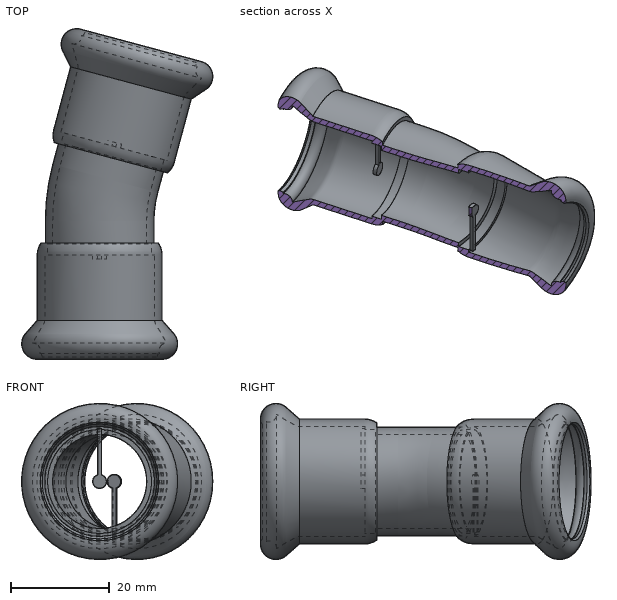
import cadquery as cq
import math


TUBE_OUTER_R = 22.0 / 2
TUBE_BORE_R = 19.0 / 2
BEND_ANGLE = 15
BEND_RADIUS = 33.45
STRAIGHT_LENGTH = 4.35

SOCKET_LENGTH = 23.55
SLEEVE_R = 25.3 / 2
SOCKET_BORE_R = 22.2 / 2
STOP_DEPTH = 21.15
STOP_STEP_R = 21.0 / 2
STOP_STEP_DEPTH = 2.15
SLEEVE_END_R = 11.85
SLEEVE_ROUND_R = 4.0

BEAD_R = 3.15
BEAD_END_DEPTH = 5.1
CONE_END_DEPTH = 7.9

MOUTH_R = 12.0
LIP_R = 23.2 / 2
LIP_DEPTH = 0.5
SHOULDER_DEPTH = 1.2
SHOULDER_INNER_R = 11.85
SHOULDER_OUTER_R = 12.1
CHAMBER_R = 13.6
CHAMBER_DEPTH = 3.3
CHAMBER_ROUND_R = 1.55
THROAT_R = 11.45
THROAT_DEPTH = 6.95
THROAT_END_DEPTH = 8.1
THROAT_ROUND_R = 2.15

DISC_R = 1.4
STEM_WIDTH = 0.8
STEM_TOP = 10.7
MARKER_THICKNESS = 0.8

BEND_START = SOCKET_LENGTH + STRAIGHT_LENGTH
BEND_RAD = math.radians(BEND_ANGLE)
BEND_END_X = BEND_RADIUS * (1 - math.cos(BEND_RAD))
BEND_END_Y = BEND_START + BEND_RADIUS * math.sin(BEND_RAD)


def at_inlet(body):
    return body


def at_outlet(body):
    """Turn a body over and carry it from the inlet to the outlet socket."""
    turned = body.rotate((0, 0, 0), (1, 0, 0), 180).translate((0, BEND_START, 0))
    return turned.rotate((0, 0, 0), (0, 0, 1), -BEND_ANGLE).translate((BEND_END_X, BEND_END_Y, 0))


def make_socket():
    """Socket with its straight piece of tube, revolved from (radius, depth) points."""
    bead_end_r = SLEEVE_R + math.sqrt(BEAD_R**2 - (BEAD_END_DEPTH - BEAD_R) ** 2)
    return (
        cq.Workplane("XY")
        .moveTo(MOUTH_R, 0)
        .lineTo(SLEEVE_R, 0)
        .threePointArc((SLEEVE_R + BEAD_R, BEAD_R), (bead_end_r, BEAD_END_DEPTH))
        .lineTo(SLEEVE_R, CONE_END_DEPTH)
        .lineTo(SLEEVE_R, STOP_DEPTH)
        .radiusArc((SLEEVE_END_R, SOCKET_LENGTH), -SLEEVE_ROUND_R)
        .lineTo(TUBE_OUTER_R, SOCKET_LENGTH)
        .lineTo(TUBE_OUTER_R, BEND_START)
        .lineTo(TUBE_BORE_R, BEND_START)
        .lineTo(TUBE_BORE_R, STOP_DEPTH + STOP_STEP_DEPTH)
        .lineTo(STOP_STEP_R, STOP_DEPTH + STOP_STEP_DEPTH)
        .lineTo(STOP_STEP_R, STOP_DEPTH)
        .lineTo(SOCKET_BORE_R, STOP_DEPTH)
        .lineTo(SOCKET_BORE_R, THROAT_END_DEPTH)
        .radiusArc((THROAT_R, THROAT_DEPTH), -THROAT_ROUND_R)
        .lineTo(CHAMBER_R, CHAMBER_DEPTH)
        .radiusArc((SHOULDER_OUTER_R, SHOULDER_DEPTH), -CHAMBER_ROUND_R)
        .lineTo(SHOULDER_INNER_R, SHOULDER_DEPTH)
        .lineTo(LIP_R, LIP_DEPTH)
        .close()
        .revolve(360, (0, 0, 0), (0, 1, 0))
    )


def make_bend():
    ring = cq.Workplane("XZ", origin=(0, BEND_START, 0)).circle(TUBE_OUTER_R).circle(TUBE_BORE_R)
    return ring.revolve(BEND_ANGLE, (BEND_RADIUS, 0, 0), (BEND_RADIUS, -1, 0))


def make_fitting():
    socket = make_socket()
    return make_bend().union(at_inlet(socket)).union(at_outlet(socket))


def make_marker():
    """Disc on the socket axis with a stem up to the stop, lying flat against it."""
    stop_plane = cq.Workplane("XZ", origin=(0, STOP_DEPTH, 0))
    disc = stop_plane.circle(DISC_R).extrude(MARKER_THICKNESS)
    stem = stop_plane.center(0, STEM_TOP / 2).rect(STEM_WIDTH, STEM_TOP).extrude(MARKER_THICKNESS)
    return disc.union(stem)


fitting = make_fitting()
markers = [place(make_marker()) for place in (at_inlet, at_outlet)]

result = cq.Compound.makeCompound([fitting.val(), *[marker.val() for marker in markers]])